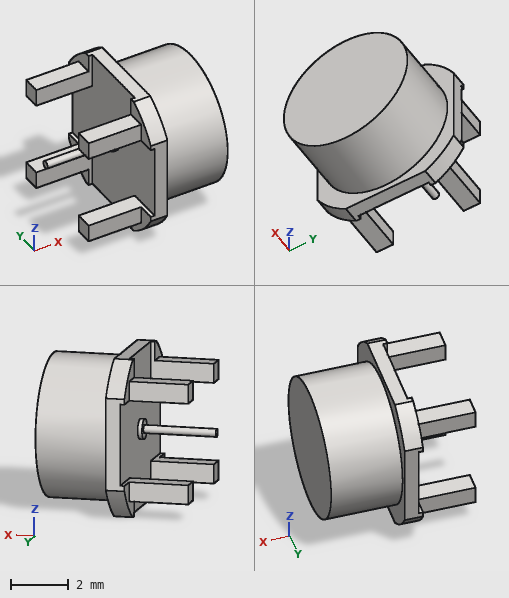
import cadquery as cq

leg_tip_x = 0.48
pad_face_x = 2.59
recess_floor_x = 2.74
flange_front_x = 3.25
body_end_x = 5.84

flange_width = 5.59
flange_corner_radius = 3.235
body_diameter = 5.08
recess_width = 2.885
leg_width = 0.685
collar_diameter = 0.71
pin_diameter = 0.29


def cylinder(diameter, start_x, end_x):
    return cq.Workplane("YZ", origin=(start_x, 0, 0)).circle(diameter / 2).extrude(end_x - start_x)


def square_bar(width, start_x, end_x, y=0, z=0):
    plane = cq.Workplane("YZ", origin=(start_x, y, z))
    return plane.rect(width, width).extrude(end_x - start_x)


def cross_recess():
    """Shallow cross across the flange back, leaving a raised pad in each corner."""
    depth = recess_floor_x - pad_face_x
    plane = cq.Workplane("YZ", origin=(pad_face_x, 0, 0))
    vertical = plane.rect(recess_width, flange_width).extrude(depth)
    horizontal = plane.rect(flange_width, recess_width).extrude(depth)
    return vertical.union(horizontal)


flange = square_bar(flange_width, pad_face_x, flange_front_x)
flange = flange.intersect(cylinder(2 * flange_corner_radius, pad_face_x, flange_front_x))
flange = flange.cut(cross_recess())

result = flange.union(cylinder(body_diameter, flange_front_x, body_end_x))

leg_offset = (recess_width + leg_width) / 2
for y_side in (-1, 1):
    for z_side in (-1, 1):
        leg = square_bar(leg_width, leg_tip_x, recess_floor_x, y_side * leg_offset, z_side * leg_offset)
        result = result.union(leg)

result = result.union(cylinder(collar_diameter, pad_face_x, recess_floor_x))
result = result.union(cylinder(pin_diameter, 0, recess_floor_x))